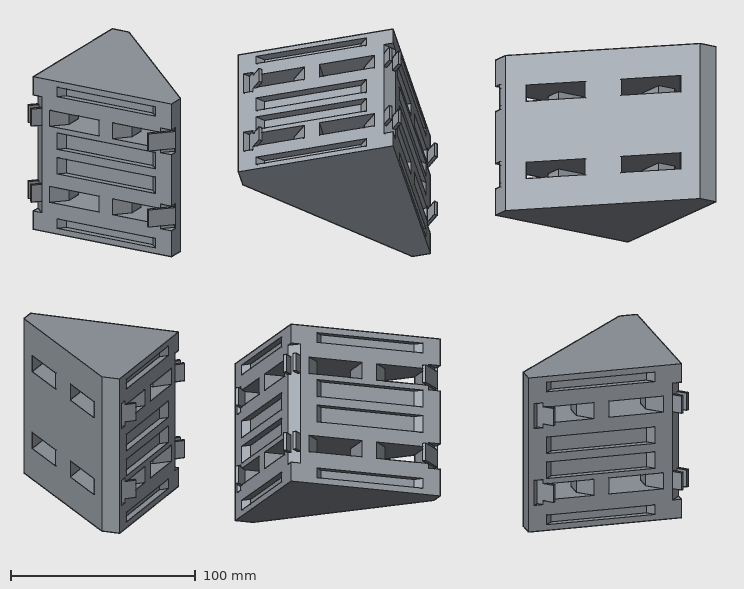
import cadquery as cq


leg_length = 86.1
block_height = 88.0
end_width_x = 10.0
end_width_y = 10.4
mid_z = block_height / 2
overcut = 0.9

level_offset = 21.9
level_centers = (mid_z - level_offset, mid_z + level_offset)
tunnel_height = 9.15
splay = 7.7
tunnel_spans = ((10.3, 41.0), (49.3, 77.8))

slot_start = 14.9
slot_end = 76.1
slot_depth = 3.8
outer_slot_height = 5.5
outer_slot_offset = 37.9
inner_slot_height = 9.4
inner_slot_near = 4.6
inner_slot_far = 9.6

channel_x = 5.5
channel_y = 5.2
channel_height = 66.75

tab_height = 9.8
tab_width = 2.5
tab_root = 0.9
pocket_height = 14.2
corner_tab_tip = -2.9
front_tab_tip_y = -6.4
front_pocket_side = 79.1
front_pocket_floor = 90.3
side_tab_tip_x = -4.4
side_pocket_side = -77.8
side_pocket_floor = 83.1


def prism(points, center_z, height):
    """Extrude a plan outline, centred in height on center_z."""
    base = cq.Workplane("XY").workplane(offset=center_z - height / 2)
    return base.polyline(points).close().extrude(height)


def swap_axes(points):
    """Mirror a plan outline from the Y = 0 face onto the X = 0 face."""
    return [(y, x) for x, y in points]


def diagonal_bar(side_range, reach_range, center_z, height):
    """Block bounded by ranges of x - y and x + y."""
    side_a, side_b = side_range
    reach_a, reach_b = reach_range
    corners = ((side_a, reach_a), (side_b, reach_a), (side_b, reach_b), (side_a, reach_b))
    points = [((reach + side) / 2, (reach - side) / 2) for side, reach in corners]
    return prism(points, center_z, height)


def tunnel_outline(start, end):
    far = leg_length + overcut
    return [
        (start - overcut, -overcut),
        (start + splay, splay),
        (start + splay, far),
        (end, far),
        (end, -overcut),
    ]


def slot_outline():
    return [
        (slot_start - overcut, -overcut),
        (slot_start + slot_depth, slot_depth),
        (slot_end - slot_depth, slot_depth),
        (slot_end + overcut, -overcut),
    ]


result = prism(
    [(0, 0), (leg_length, 0), (leg_length, end_width_x), (end_width_y, leg_length), (0, leg_length)],
    mid_z,
    block_height,
)

for level in level_centers:
    for start, end in tunnel_spans:
        outline = tunnel_outline(start, end)
        result = result.cut(prism(outline, level, tunnel_height))
        result = result.cut(prism(swap_axes(outline), level, tunnel_height))

slot = slot_outline()
for offset in (-outer_slot_offset, outer_slot_offset):
    result = result.cut(prism(slot, mid_z + offset, outer_slot_height))
    result = result.cut(prism(swap_axes(slot), mid_z + offset, outer_slot_height))
for offset in (-inner_slot_near, inner_slot_far):
    result = result.cut(prism(slot, mid_z + offset, inner_slot_height))
    result = result.cut(prism(swap_axes(slot), mid_z - offset, inner_slot_height))

result = result.cut(prism([(0, 0), (channel_x, 0), (0, channel_y)], mid_z, channel_height))

front_side = (front_pocket_side, front_pocket_side + tab_width)
front_tip = front_side[1] + 2 * front_tab_tip_y
side_side = (side_pocket_side, side_pocket_side + tab_width)
side_tip = 2 * side_tab_tip_x - side_pocket_side
corner_sides = ((-channel_y, tab_width - channel_y), (channel_x - tab_width, channel_x))
corner_reach = (corner_tab_tip, channel_x + tab_root)

for level in level_centers:
    front_pocket = diagonal_bar(
        (front_pocket_side, leg_length + overcut), (0, front_pocket_floor), level, pocket_height
    )
    front_tab = diagonal_bar(front_side, (front_tip, front_pocket_floor), level, tab_height)
    result = result.cut(front_pocket).union(front_tab)

    side_pocket = diagonal_bar(
        (-leg_length, side_pocket_side), (0, side_pocket_floor), level, pocket_height
    )
    side_tab = diagonal_bar(side_side, (side_tip, side_pocket_floor), level, tab_height)
    result = result.cut(side_pocket).union(side_tab)

    for side_range in corner_sides:
        result = result.union(diagonal_bar(side_range, corner_reach, level, tab_height))